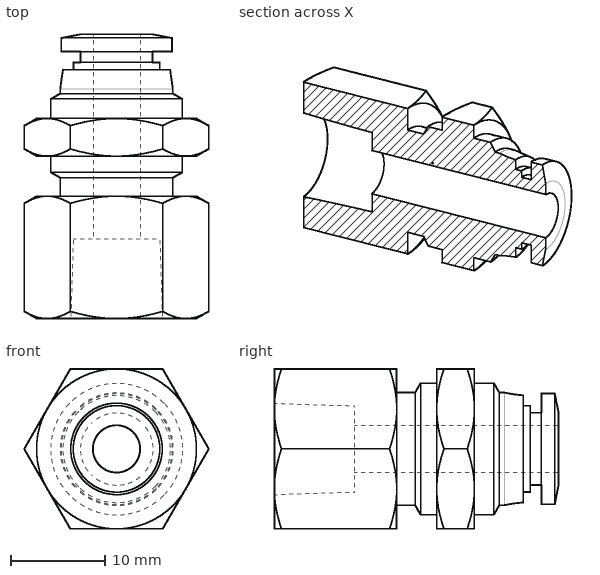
import cadquery as cq
import math


TOTAL_LENGTH = 30.2
ACROSS_FLATS = 17.0
CHAMFER_ANGLE = 30.0

HEX_SIDES = 6
SOCKET_LENGTH = 13.0
NUT_START = 17.25
NUT_THICKNESS = 4.0

BODY_DIAMETER = 12.0
SLEEVE_DIAMETER = 14.0
SLEEVE_START = 14.95
SLEEVE_END = 23.9

TAPER_START = 24.4
TAPER_END = 26.45
TAPER_END_DIAMETER = 11.4
RING_END = 27.2
RING_DIAMETER = 9.2
NECK_DIAMETER = 7.7
BUTTON_START = 28.35
BUTTON_DIAMETER = 11.8
BUTTON_FACE_DIAMETER = 7.7
BUTTON_CROWN = 0.4

BORE_DIAMETER = 5.0
THREAD_MOUTH_DIAMETER = 9.728
THREAD_DEPTH = 8.5
THREAD_TAPER = 1 / 16

CHAMFER_SLOPE = math.tan(math.radians(CHAMFER_ANGLE))


def revolve_profile(stations):
    """Solid of revolution about Y from (diameter, y) pairs, closed along the axis."""
    first_y = stations[0][1]
    last_y = stations[-1][1]
    outline = [(0, first_y)]
    outline += [(diameter / 2, y) for diameter, y in stations]
    outline.append((0, last_y))
    return cq.Workplane("XY").polyline(outline).close().revolve(360, (0, 0, 0), (0, 1, 0))


def chamfered_hexagon(start, length):
    """Hexagonal prism with corners on the X axis and both ends turned to a cone."""
    across_corners = ACROSS_FLATS / math.cos(math.pi / HEX_SIDES)
    chamfer_length = (across_corners - ACROSS_FLATS) / 2 * CHAMFER_SLOPE
    end = start + length
    prism = (
        cq.Workplane("XZ", origin=(0, start, 0))
        .polygon(HEX_SIDES, across_corners)
        .extrude(-length)
    )
    turned_blank = revolve_profile([
        (ACROSS_FLATS, start),
        (across_corners, start + chamfer_length),
        (across_corners, end - chamfer_length),
        (ACROSS_FLATS, end),
    ])
    return prism.intersect(turned_blank)


def turned_body():
    """Stepped round body from inside the socket hexagon to the release button."""
    sleeve_chamfer = (SLEEVE_DIAMETER - BODY_DIAMETER) / 2 * CHAMFER_SLOPE
    return revolve_profile([
        (BODY_DIAMETER, SOCKET_LENGTH / 2),
        (BODY_DIAMETER, SLEEVE_START),
        (SLEEVE_DIAMETER, SLEEVE_START + sleeve_chamfer),
        (SLEEVE_DIAMETER, SLEEVE_END - sleeve_chamfer),
        (BODY_DIAMETER, SLEEVE_END),
        (BODY_DIAMETER, TAPER_START),
        (TAPER_END_DIAMETER, TAPER_END),
        (RING_DIAMETER, TAPER_END),
        (RING_DIAMETER, RING_END),
        (NECK_DIAMETER, RING_END),
        (NECK_DIAMETER, BUTTON_START),
        (BUTTON_DIAMETER, BUTTON_START),
        (BUTTON_DIAMETER, TOTAL_LENGTH - BUTTON_CROWN),
        (BUTTON_FACE_DIAMETER, TOTAL_LENGTH),
    ])


def inner_bores():
    """Tapered thread bore at the mouth, continued by the through bore."""
    thread_end_diameter = THREAD_MOUTH_DIAMETER - THREAD_DEPTH * THREAD_TAPER
    return revolve_profile([
        (THREAD_MOUTH_DIAMETER, 0),
        (thread_end_diameter, THREAD_DEPTH),
        (BORE_DIAMETER, THREAD_DEPTH),
        (BORE_DIAMETER, TOTAL_LENGTH),
    ])


socket = chamfered_hexagon(0, SOCKET_LENGTH)
nut = chamfered_hexagon(NUT_START, NUT_THICKNESS)
result = turned_body().union(socket).union(nut).cut(inner_bores())